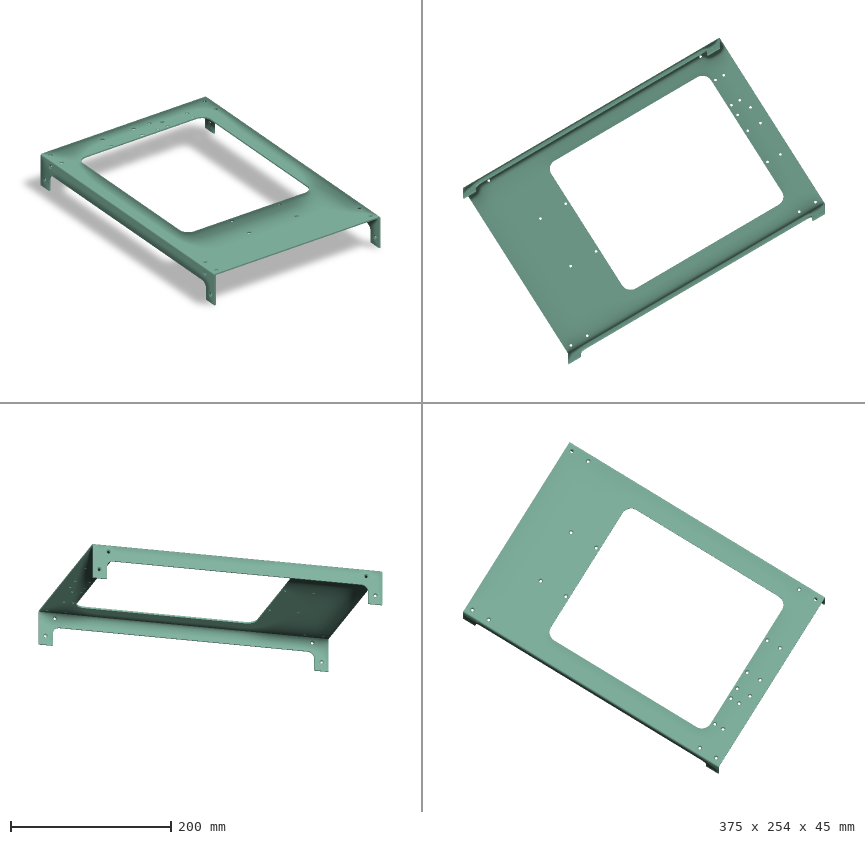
import cadquery as cq

length = 375.0
depth = 254.0
height = 45.0
sheet = 2.0
bend_radius = 2.02

window_left = 37.5
window_length = 234.0
window_depth = 195.0
window_corner_radius = 12.8

leg_width = 18.0
leg_height = 24.5
leg_corner_radius = 9.0

hole_diameter = 3.4
sink_diameter = 6.0
sink_depth = (sink_diameter - hole_diameter) / 2
end_hole_inset = 8.5
corner_hole_spacing = 24.0
corner_hole_y = 118.0
wall_hole_inset = 20.5
wall_hole_z = 36.0
leg_hole_z = 11.5

inner_column = end_hole_inset + corner_hole_spacing
upper_columns = (20.5, inner_column)
upper_rows = (44.2, 82.5)
lower_columns = (14.0, inner_column)
lower_rows = (-42.5, 5.2, 29.2)
right_columns = (276.0, 313.0)
right_rows = (-30.0, 42.5)


def folded_sheet():
    """Channel with a flat top and two downward walls, folded along X."""
    outer = cq.Workplane("XY").box(length, depth, height, centered=(False, True, False))
    outer = outer.edges("|X and >Z").fillet(bend_radius)
    inner = cq.Workplane("XY").box(length, depth - 2 * sheet, height - sheet, centered=(False, True, False))
    return outer.cut(inner)


def window():
    """Rounded opening through the top plate."""
    block = cq.Workplane("XY").box(window_length, window_depth, 2 * height, centered=(False, True, False))
    return block.edges("|Z").fillet(window_corner_radius).translate((window_left, 0, 0))


def leg_gap():
    """Opening under both walls that leaves a leg at each end."""
    gap_length = length - 2 * leg_width
    block = cq.Workplane("XY").box(gap_length, 2 * depth, leg_height, centered=(False, True, False))
    return block.edges("|Y and >Z").fillet(leg_corner_radius).translate((leg_width, 0, 0))


def grid(columns, rows):
    """Every crossing of the given columns and rows."""
    return [(column, row) for column in columns for row in rows]


def mirrored_ends(inset):
    """The same inset from the left and right ends."""
    return (inset, length - inset)


def countersunk_hole(mouth, inward):
    """Cutter that enters the sheet at the mouth point and runs along the inward direction."""
    bore = cq.Solid.makeCylinder(hole_diameter / 2, 2 * sheet, mouth, inward)
    sink = cq.Solid.makeCone(sink_diameter / 2, hole_diameter / 2, sink_depth, mouth, inward)
    return bore.fuse(sink)


def top_holes():
    """Vertical holes through the top plate."""
    corner_columns = mirrored_ends(end_hole_inset) + mirrored_ends(inner_column)
    points = grid(corner_columns, (-corner_hole_y, corner_hole_y))
    points += grid(upper_columns, upper_rows)
    points += grid(lower_columns, lower_rows)
    points += grid(right_columns, right_rows)
    down = cq.Vector(0, 0, -1)
    return [countersunk_hole(cq.Vector(x, y, height), down) for x, y in points]


def wall_holes():
    """Horizontal holes through both walls, all sunk from the -Y face of each wall."""
    points = grid(mirrored_ends(end_hole_inset), (leg_hole_z,))
    points += grid(mirrored_ends(wall_hole_inset), (wall_hole_z,))
    backward = cq.Vector(0, 1, 0)
    cutters = []
    for wall_face_y in (-depth / 2, depth / 2 - sheet):
        cutters += [countersunk_hole(cq.Vector(x, wall_face_y, z), backward) for x, z in points]
    return cutters


result = folded_sheet().cut(window()).cut(leg_gap())
for cutter in top_holes() + wall_holes():
    result = result.cut(cq.Workplane(cutter))